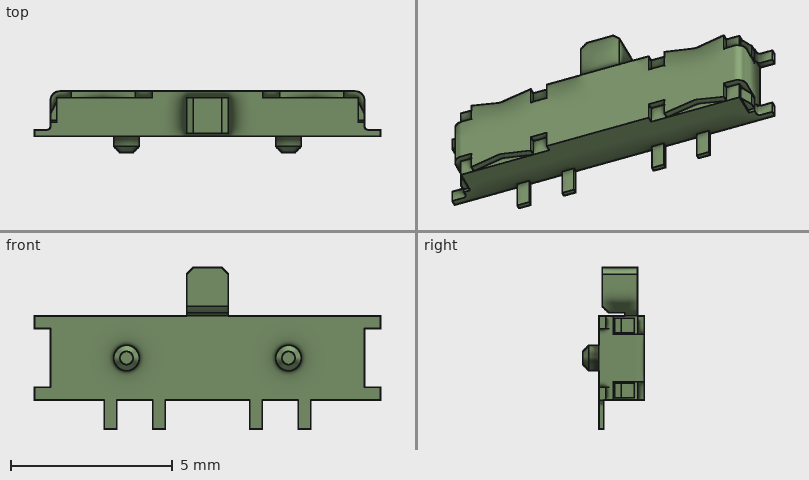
import cadquery as cq


body_length = 9.31
body_height = 2.6
body_depth = 1.2

sheet = 0.2
overall_length = 10.7
cover_length = body_length + 2 * sheet
cover_depth = body_depth + sheet
bend_radius = 0.3
foot_bend_radius = 0.11
foot_height = 0.4

notch_height = 0.57
notch_front = 0.44
tab_outer = 4.22
tab_inner = 2.23
slot_inner = 1.7
dip_outer = 3.31
dip_inner = 3.22
dip_depth = 0.2

lug_front = 0.49
lug_crest = 0.68
lug_back = 1.09
lug_height = 0.45
lug_inset = 0.06

knob_width = 1.3
knob_height = 1.5
knob_front = 0.1
knob_chamfer = 0.2
neck_depth = 0.41
knob_gap = 0.1

peg_offset = 2.5
peg_radius = 0.4
peg_tip_radius = 0.2
peg_length = 0.5
peg_chamfer = peg_radius - peg_tip_radius

terminal_offsets = (1.5, 3.0)
terminal_width = 0.4
terminal_thickness = 0.15
terminal_length = 0.9

body_top = body_height / 2
SIDES = (-1, 1)


def block(x_range, y_range, z_range):
    """Box between the given limits, in either order, along each axis."""
    lows = [min(r) for r in (x_range, y_range, z_range)]
    sizes = [abs(r[1] - r[0]) for r in (x_range, y_range, z_range)]
    return cq.Workplane("XY").box(*sizes, centered=False).translate(tuple(lows))


def mirrored_block(side, level, x_range, y_range, z_range):
    """Block placed on one X side and one Z level of the part."""
    return block([side * x for x in x_range], y_range, [level * z for z in z_range])


def make_cover():
    """Bent sheet over the back and ends, with its rims notched; the inside is solid."""
    shell = block((-cover_length / 2, cover_length / 2), (0, cover_depth), (-body_top, body_top))
    shell = shell.edges("|Z and >Y").fillet(bend_radius)
    shell_face = cover_length / 2
    for level in SIDES:
        rim = (body_top - notch_height, body_top)
        for side in SIDES:
            end_notch = (body_length / 2, shell_face)
            shell = shell.cut(mirrored_block(side, level, end_notch, (notch_front, cover_depth), rim))
            for x_range in ((tab_outer, shell_face), (slot_inner, tab_inner)):
                shell = shell.cut(mirrored_block(side, level, x_range, (body_depth, cover_depth), rim))
            shell = shell.cut(make_tab_dip(side, level))
    return shell


def make_tab_dip(side, level):
    """Shallow V with a flat bottom, cut into the rim of one cover tab."""
    dip_bottom = body_top - dip_depth
    outline = [
        (tab_outer, body_top),
        (dip_outer, dip_bottom),
        (dip_inner, dip_bottom),
        (tab_inner, body_top),
    ]
    points = [(side * x, level * z) for x, z in outline]
    return (
        cq.Workplane("XZ", origin=(0, cover_depth, 0))
        .polyline(points)
        .close()
        .extrude(sheet)
    )


def make_foot(side, level):
    """Soldering foot bent outward from an end of the cover."""
    wall = side * cover_length / 2
    outline = (
        cq.Workplane("XY", origin=(0, 0, level * body_top))
        .moveTo(side * body_length / 2, 0)
        .lineTo(side * overall_length / 2, 0)
        .lineTo(side * overall_length / 2, sheet)
        .lineTo(wall + side * foot_bend_radius, sheet)
        .radiusArc((wall, sheet + foot_bend_radius), side * foot_bend_radius)
        .lineTo(side * body_length / 2, sheet + foot_bend_radius)
        .close()
    )
    return outline.extrude(-level * foot_height)


def make_lug(side, level):
    """Snap lug with a ramp towards the back, standing in a corner notch."""
    root = side * body_length / 2
    crest = side * cover_length / 2
    return (
        cq.Workplane("XY", origin=(0, 0, level * (body_top - lug_inset)))
        .polyline([(root, lug_front), (crest, lug_front), (crest, lug_crest), (root, lug_back)])
        .close()
        .extrude(-level * lug_height)
    )


def make_knob():
    """Sliding knob overhanging the housing, carried by a thinner neck."""
    knob_bottom = body_top + knob_gap
    knob_top = body_top + knob_height
    half_width = knob_width / 2
    head = block((-half_width, half_width), (knob_front, body_depth), (knob_bottom, knob_top))
    head = head.edges("|Y and >Z").chamfer(knob_chamfer)
    head = head.edges("|X and <Y and <Z").chamfer(knob_chamfer)
    neck_front = body_depth - neck_depth
    neck = block((-half_width, half_width), (neck_front, body_depth), (body_top, knob_bottom))
    return head.union(neck)


def make_peg(x):
    """Locating peg with a conical tip on the mounting face."""
    peg = cq.Workplane("XZ").center(x, 0).circle(peg_radius).extrude(peg_length)
    return peg.faces("<Y").edges().chamfer(peg_chamfer)


def make_terminal(x):
    """Flat terminal flush with the mounting face."""
    half_width = terminal_width / 2
    return block(
        (x - half_width, x + half_width),
        (0, terminal_thickness),
        (-body_top - terminal_length, -body_top),
    )


result = make_cover().union(make_knob())
for side in SIDES:
    result = result.union(make_peg(side * peg_offset))
    for level in SIDES:
        result = result.union(make_foot(side, level))
        result = result.union(make_lug(side, level))
    for offset in terminal_offsets:
        result = result.union(make_terminal(side * offset))